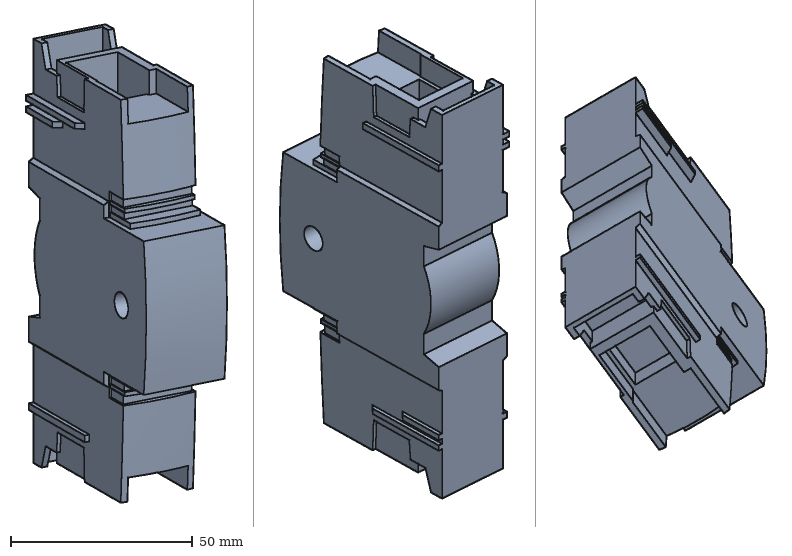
import cadquery as cq


half_length = 62.2
half_shoulder = 59.1
half_width = 11.6

center_front = -13.1
center_back = 12.8
center_half_height = 26.4
center_chamfer_slope = 0.6
center_shoulder_x = 41.0
nose_half_height = 22.5
nose_edge_x = 62.6
nose_peak_x = 64.0

notch_half_height = 19.0
notch_floor_half_height = 17.5
notch_depth = 6.0
bulge_half_height = 11.0
bulge_peak_x = 3.1

hole_x = 50.4
hole_diameter = 7.5

face_peak_x = 50.3
face_end_x = 48.4
face_radius = 82.2
face_axis_x = face_peak_x - face_radius

neck_x = 41.3
neck_top_z = 30.3
neck_half_width = 11.0
neck_upper_x = 47.9
neck_lower_x = 48.3
fin_half_width = 11.2
fin_z = (26.3, 27.5)
sill_z = (nose_half_height, 24.2)
sill_peak_x = 52.9

lip_width = 4.5
lip_foot_x = 6.7
lip_step_z = 55.3
lip_thickness = 1.5
gap_half_width = 9.7
gap_floor_z = 49.2
socket_wall_x = 10.8

recess_floor_z = 49.2
recess_half_width = 10.5
recess_left_x = (13.2, 12.7)
recess_right_x = (27.5, 27.9)

socket_x = (13.8, 30.1)
socket_y = (-8.1, 7.3)
socket_floor_z = 44.8
socket_ledge_y = -9.3
tray_x = 31.0
tray_half_width = 9.6
tray_floor_z = 51.9

rib_z = (44.5, 46.5)
rib_end_x = 30.5
tab_front = -14.0
tab_end_bevel = 1.5
tab_height = 1.7
tab_long_z = 44.5
tab_long_end_x = 28.0
tab_short_z = 41.1
tab_short_end_x = 15.9


def box(x, y, z):
    """Box between the given (low, high) pairs."""
    size = (x[1] - x[0], y[1] - y[0], z[1] - z[0])
    return cq.Workplane("XY").box(*size, centered=False).translate((x[0], y[0], z[0]))


def across(outline, y):
    """Extrude an outline drawn on XZ between two Y values."""
    return outline.extrude(y[0] - y[1]).translate((0, y[0], 0))


def symmetric(value):
    """Pair of limits centred on zero."""
    return (-value, value)


def other_end(shape):
    """The same shape at the -Z end: a half turn about X."""
    return shape.rotate((0, 0, 0), (1, 0, 0), 180)


def barrel():
    """Terminal-end solid with its doubly curved operating face."""
    profile = (
        cq.Workplane("XZ")
        .moveTo(face_axis_x, -half_shoulder)
        .lineTo(face_end_x, -half_shoulder)
        .threePointArc((face_peak_x, 0), (face_end_x, half_shoulder))
        .lineTo(face_axis_x, half_shoulder)
        .close()
    )
    solid = profile.revolve(360, (face_axis_x, 0, 0), (face_axis_x, 1, 0))
    limits = box((0, face_peak_x), symmetric(half_width), symmetric(half_shoulder))
    return solid.intersect(limits)


def center_body():
    """Wide middle section with its chamfered shoulders and curved nose."""
    narrow_z = center_half_height + center_chamfer_slope * (-half_width - center_front)
    back_z = narrow_z - center_chamfer_slope * (center_back - half_width)
    section = (
        cq.Workplane("YZ")
        .moveTo(center_front, -center_half_height)
        .lineTo(center_front, center_half_height)
        .lineTo(-half_width, narrow_z)
        .lineTo(half_width, narrow_z)
        .lineTo(center_back, back_z)
        .lineTo(center_back, -back_z)
        .lineTo(half_width, -narrow_z)
        .lineTo(-half_width, -narrow_z)
        .close()
    )
    shoulder = section.extrude(center_shoulder_x)
    nose = (
        cq.Workplane("XZ")
        .moveTo(0, -nose_half_height)
        .lineTo(nose_edge_x, -nose_half_height)
        .threePointArc((nose_peak_x, 0), (nose_edge_x, nose_half_height))
        .lineTo(0, nose_half_height)
        .close()
    )
    return shoulder.union(across(nose, (center_front, center_back)))


def rail_notch():
    """Cutter for the rail notch, leaving the rounded bulge in its middle."""
    outline = (
        cq.Workplane("XZ")
        .moveTo(0, -notch_half_height)
        .lineTo(notch_depth, -notch_floor_half_height)
        .lineTo(notch_depth, -bulge_half_height)
        .threePointArc((bulge_peak_x, 0), (notch_depth, bulge_half_height))
        .lineTo(notch_depth, notch_floor_half_height)
        .lineTo(0, notch_half_height)
        .close()
    )
    return across(outline, (center_front, center_back))


def lip():
    """Rail-side lip rising above the shoulder."""
    outline = (
        cq.Workplane("XZ")
        .moveTo(0, lip_step_z)
        .lineTo(lip_foot_x, lip_step_z)
        .lineTo(lip_width, half_length)
        .lineTo(0, half_length)
        .close()
    )
    return across(outline, symmetric(half_width))


def side_recess(y):
    """Cutter for the recess beside the socket."""
    outline = (
        cq.Workplane("XZ")
        .moveTo(0, lip_step_z)
        .lineTo(recess_left_x[1], lip_step_z)
        .lineTo(recess_left_x[0], recess_floor_z)
        .lineTo(recess_right_x[0], recess_floor_z)
        .lineTo(recess_right_x[1], half_shoulder)
        .lineTo(0, half_shoulder)
        .close()
    )
    return across(outline, y)


def end_cuts():
    """Everything removed from the +Z end before its lip is added."""
    full_width = symmetric(half_width)
    above_step = box((0, socket_wall_x), full_width, (lip_step_z, half_shoulder))
    socket = box(socket_x, socket_y, (socket_floor_z, half_shoulder))
    ledge = box(socket_x, (socket_ledge_y, socket_y[0]), (tray_floor_z, half_shoulder))
    passage = box((socket_x[1], tray_x), (socket_ledge_y, socket_y[1]), (tray_floor_z, half_shoulder))
    tray = box((tray_x, face_peak_x), symmetric(tray_half_width), (tray_floor_z, half_shoulder))
    cuts = above_step.union(socket).union(ledge).union(passage).union(tray)
    for side in ((-half_width, -recess_half_width), (recess_half_width, half_width)):
        cuts = cuts.union(side_recess(side))
    return cuts


def lip_gap():
    """Cutter for the gap between the lip and the socket wall."""
    return box((lip_thickness, socket_wall_x), symmetric(gap_half_width), (gap_floor_z, half_length))


def neck(terminal):
    """Stepped core, thin fin and curved sill between a terminal end and the nose."""
    core_y = symmetric(neck_half_width)
    fin_y = symmetric(fin_half_width)
    core_start = center_shoulder_x
    upper = box((core_start, neck_upper_x), core_y, (fin_z[0], neck_top_z))
    lower = box((core_start, neck_lower_x), core_y, (nose_half_height, fin_z[0]))
    fin = terminal.intersect(box((core_start, face_peak_x), fin_y, fin_z))
    sill_round = (
        cq.Workplane("XY")
        .center(face_axis_x, 0)
        .circle(sill_peak_x - face_axis_x)
        .extrude(half_length)
    )
    sill = sill_round.intersect(box((core_start, sill_peak_x), fin_y, sill_z))
    return upper.union(lower).union(fin).union(sill)


def tab(end_x, low_z, outer_y):
    """Short rib on the -Y side of the +Z end, rooted inside the wall, with a bevelled end."""
    outline = (
        cq.Workplane("XY")
        .moveTo(0, -recess_half_width)
        .lineTo(end_x, -recess_half_width)
        .lineTo(end_x, -half_width)
        .lineTo(end_x - tab_end_bevel, outer_y)
        .lineTo(0, outer_y)
        .close()
    )
    return outline.extrude(tab_height).translate((0, 0, low_z))


def ribs():
    """Two tabs and one full rib on each end, swapped between the sides."""
    shapes = box((0, rib_end_x), (half_width, center_back), rib_z)
    lower_rib_z = (-rib_z[1], -rib_z[0])
    shapes = shapes.union(box((0, rib_end_x), (center_front, -half_width), lower_rib_z))
    for end_x, low_z in ((tab_long_end_x, tab_long_z), (tab_short_end_x, tab_short_z)):
        shapes = shapes.union(tab(end_x, low_z, tab_front))
        shapes = shapes.union(other_end(tab(end_x, low_z, -center_back)))
    return shapes


terminal = barrel()
neck_space = box((neck_x, face_peak_x), symmetric(half_width), (nose_half_height, neck_top_z))
end_neck = neck(terminal)
body = terminal
for place in (lambda shape: shape, other_end):
    body = body.cut(place(end_cuts())).union(place(lip())).cut(place(lip_gap()))
    body = body.cut(place(neck_space)).union(place(end_neck))

body = body.union(center_body()).union(ribs()).cut(rail_notch())
hole = across(cq.Workplane("XZ").center(hole_x, 0).circle(hole_diameter / 2), (center_front, center_back))
result = body.cut(hole)